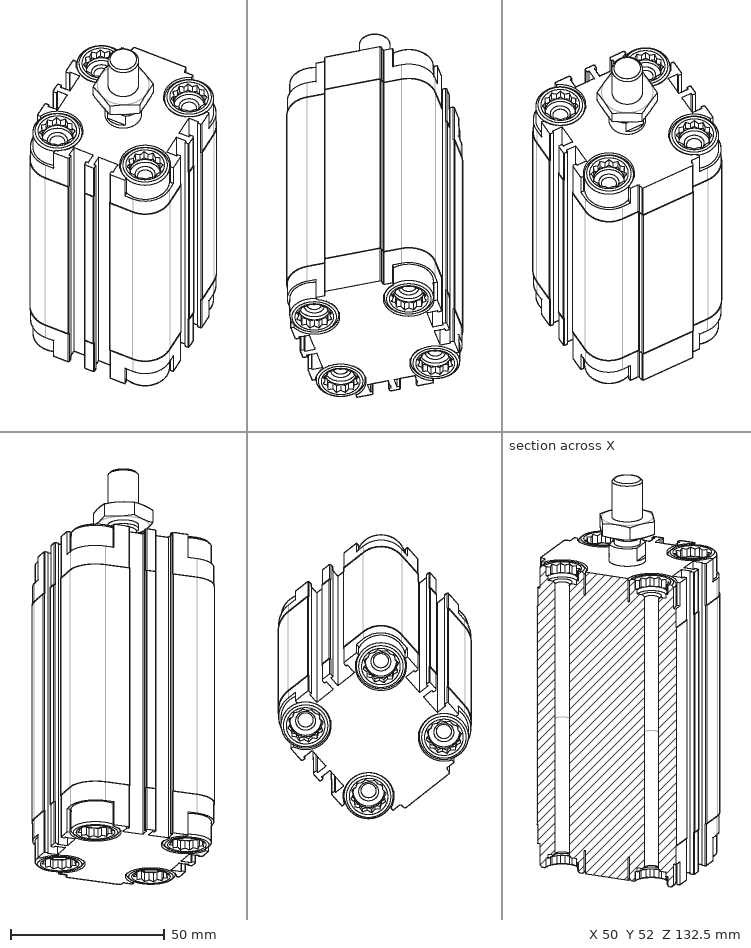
import cadquery as cq
import math

BODY_LENGTH = 104.5
CAP_LENGTH = 14.5
HALF_WIDTH = 25.0
BOLT_OFFSET = 16.0
CORNER_RADIUS = HALF_WIDTH - BOLT_OFFSET
CAP_INSET = 0.2

PAD_HEIGHT = 2.0
PAD_BASE_HALF = 9.8
PAD_TOP_HALF = 9.6
EDGE_BREAK = 0.3

GROOVE_DEPTH = 5.1
LIP_DEPTH = 1.6
RIB_HALF = 1.0
RIB_HEAD_HALF = 1.8
MOUTH_OUTER = 7.4
GROOVE_OUTER = 8.0

COLLAR_RADIUS = 8.0
COLLAR_CHAMFER = 0.75
COLLAR_GAP = 0.3
NOTCH_START = 13.0
NOTCH_DEPTH = 8.0
BOLT_HOLE_DIAMETER = 4.92
HOLE_MOUTH_DIAMETER = 6.5
SOCKET_POINTS = 12
SOCKET_MOUTH_DIAMETER = 12.6
SOCKET_INNER_DIAMETER = 10.1
SOCKET_OUTER_DIAMETER = 11.6
SOCKET_MOUTH_DEPTH = 0.7
SOCKET_POINT_DEPTH = 3.4
SOCKET_DEPTH = 4.8

ROD_DIAMETER = 12.0
ROD_SHOULDER_HEIGHT = 6.0
ROD_FLATS = 10.0
FLATS_HEIGHT = 4.5
ROD_INSERTION = CAP_LENGTH
NECK_DIAMETER = 8.57
NECK_HEIGHT = 2.0
THREAD_DIAMETER = 10.0
THREAD_END_DIAMETER = 8.65
THREAD_LENGTH = 22.0
NUT_SIDES = 6
NUT_ACROSS_FLATS = 17.0
NUT_THICKNESS = 5.0
NUT_TOP = 13.0
NUT_FACE_DIAMETER = 16.8
NUT_CHAMFER_ANGLE = 15.0

ROD_TIP_Z = BODY_LENGTH + ROD_SHOULDER_HEIGHT + THREAD_LENGTH
NUT_TOP_Z = ROD_TIP_Z - NUT_TOP


def outline(inset, z_start, length):
    """Rounded square with the +Y pad, shrunk by `inset` and extruded along Z."""
    face = HALF_WIDTH - inset
    square = (
        cq.Workplane("XY", origin=(0, 0, z_start))
        .rect(2 * face, 2 * face)
        .extrude(length)
        .edges("|Z")
        .fillet(CORNER_RADIUS - inset)
    )
    pad_half = [
        (0, 0),
        (PAD_BASE_HALF + EDGE_BREAK, 0),
        (PAD_BASE_HALF + EDGE_BREAK, face),
        (PAD_BASE_HALF, face + EDGE_BREAK),
        (PAD_TOP_HALF, face + PAD_HEIGHT - EDGE_BREAK),
        (PAD_TOP_HALF - EDGE_BREAK, face + PAD_HEIGHT),
        (0, face + PAD_HEIGHT),
    ]
    pad = cq.Workplane("XY", origin=(0, 0, z_start)).polyline(pad_half).close().extrude(length)
    return square.union(pad).union(pad.mirror("YZ"))


def groove_pair(inset, z_start, length):
    """The two grooves of the -Y face, with bevelled mouths on a face shrunk by `inset`."""
    face_y = inset - HALF_WIDTH
    floor_y = GROOVE_DEPTH - HALF_WIDTH
    lip_y = LIP_DEPTH - HALF_WIDTH
    right = (
        cq.Workplane("XY", origin=(0, 0, z_start))
        .polyline([
            (RIB_HALF, floor_y),
            (GROOVE_OUTER, floor_y),
            (GROOVE_OUTER, lip_y),
            (MOUTH_OUTER, lip_y),
            (MOUTH_OUTER, face_y + EDGE_BREAK),
            (MOUTH_OUTER + EDGE_BREAK, face_y),
            (RIB_HEAD_HALF - EDGE_BREAK, face_y),
            (RIB_HEAD_HALF, face_y + EDGE_BREAK),
            (RIB_HEAD_HALF, lip_y),
            (RIB_HALF, lip_y),
        ])
        .close()
        .extrude(length)
    )
    return right.union(right.mirror("YZ"))


def profile(inset, z_start, length):
    """Outline with grooves in its -X, -Y and +X faces."""
    body = outline(inset, z_start, length)
    grooves = groove_pair(inset, z_start, length)
    for turn in (-90, 0, 90):
        body = body.cut(grooves.rotate((0, 0, 0), (0, 0, 1), turn))
    return body


def collar_clearance():
    """Material removed from the top of one cap corner, around a collar on the Z axis."""
    reach = 2 * CORNER_RADIUS
    start = NOTCH_START - BOLT_OFFSET
    bottom = BODY_LENGTH - NOTCH_DEPTH
    collar = cq.Workplane("XY", origin=(0, 0, bottom)).circle(COLLAR_RADIUS).extrude(NOTCH_DEPTH)
    pocket = (
        cq.Workplane("XY", origin=(0, 0, bottom))
        .circle(COLLAR_RADIUS + COLLAR_GAP)
        .extrude(NOTCH_DEPTH)
    )
    corner = cq.Workplane("XY").box(reach, reach, NOTCH_DEPTH, centered=False)
    clearance = corner.translate((start, start, bottom)).union(pocket).cut(collar)
    chamfer = (
        cq.Workplane("XZ")
        .polyline([
            (COLLAR_RADIUS - COLLAR_CHAMFER, BODY_LENGTH),
            (COLLAR_RADIUS, BODY_LENGTH),
            (COLLAR_RADIUS, BODY_LENGTH - COLLAR_CHAMFER),
        ])
        .close()
        .revolve(360, (0, 0, 0), (0, 1, 0))
    )
    return clearance.union(chamfer)


def bolt_socket():
    """Twelve-pointed socket and bolt hole on the Z axis, open at the top face."""
    inner = SOCKET_INNER_DIAMETER / 2
    mouth = SOCKET_MOUTH_DIAMETER / 2
    hole = BOLT_HOLE_DIAMETER / 2
    hole_mouth = HOLE_MOUTH_DIAMETER / 2
    floor = BODY_LENGTH - SOCKET_DEPTH
    bore = (
        cq.Workplane("XZ")
        .polyline([
            (0, BODY_LENGTH / 2),
            (hole, BODY_LENGTH / 2),
            (hole, floor - (hole_mouth - hole)),
            (hole_mouth, floor),
            (inner, floor),
            (inner, BODY_LENGTH - SOCKET_MOUTH_DEPTH),
            (mouth, BODY_LENGTH),
            (0, BODY_LENGTH),
        ])
        .close()
        .revolve(360, (0, 0, 0), (0, 1, 0))
    )
    corners = []
    for i in range(2 * SOCKET_POINTS):
        radius = SOCKET_OUTER_DIAMETER / 2 if i % 2 == 0 else inner
        angle = math.pi * i / SOCKET_POINTS
        corners.append((radius * math.cos(angle), radius * math.sin(angle)))
    star = (
        cq.Workplane("XY", origin=(0, 0, BODY_LENGTH - SOCKET_POINT_DEPTH))
        .polyline(corners)
        .close()
        .extrude(SOCKET_POINT_DEPTH)
    )
    return bore.union(star)


def at_bolt(tool, x_sign, y_sign):
    """Copies of a tool made for the (+X, +Y) bolt, at one bolt, for both ends of the housing."""
    if x_sign < 0:
        tool = tool.mirror("YZ")
    if y_sign < 0:
        tool = tool.mirror("XZ")
    upper = tool.translate((x_sign * BOLT_OFFSET, y_sign * BOLT_OFFSET, 0))
    lower = upper.mirror("XY").translate((0, 0, BODY_LENGTH))
    return [upper, lower]


def make_housing():
    body = profile(0, CAP_LENGTH, BODY_LENGTH - 2 * CAP_LENGTH)
    for cap_start in (0, BODY_LENGTH - CAP_LENGTH):
        body = body.union(profile(CAP_INSET, cap_start, CAP_LENGTH))
    for tool in (collar_clearance(), bolt_socket()):
        for x_sign in (-1, 1):
            for y_sign in (-1, 1):
                for cutter in at_bolt(tool, x_sign, y_sign):
                    body = body.cut(cutter)
    rod_bore = (
        cq.Workplane("XY", origin=(0, 0, BODY_LENGTH - ROD_INSERTION))
        .circle(ROD_DIAMETER / 2)
        .extrude(ROD_INSERTION)
    )
    return body.cut(rod_bore)


def make_rod():
    bottom_z = BODY_LENGTH - ROD_INSERTION
    shoulder_z = BODY_LENGTH + ROD_SHOULDER_HEIGHT
    neck_top_z = shoulder_z + NECK_HEIGHT
    neck_taper = (THREAD_DIAMETER - NECK_DIAMETER) / 2
    tip_chamfer = (THREAD_DIAMETER - THREAD_END_DIAMETER) / 2
    rod = (
        cq.Workplane("XZ")
        .polyline([
            (0, bottom_z),
            (ROD_DIAMETER / 2, bottom_z),
            (ROD_DIAMETER / 2, shoulder_z),
            (NECK_DIAMETER / 2, shoulder_z),
            (NECK_DIAMETER / 2, neck_top_z),
            (THREAD_DIAMETER / 2, neck_top_z + neck_taper),
            (THREAD_DIAMETER / 2, ROD_TIP_Z - tip_chamfer),
            (THREAD_END_DIAMETER / 2, ROD_TIP_Z),
            (0, ROD_TIP_Z),
        ])
        .close()
        .revolve(360, (0, 0, 0), (0, 1, 0))
    )
    for side in (-1, 1):
        flat = (
            cq.Workplane("XY")
            .box(ROD_DIAMETER, ROD_DIAMETER, FLATS_HEIGHT)
            .translate((0, side * (ROD_FLATS + ROD_DIAMETER) / 2, shoulder_z - FLATS_HEIGHT / 2))
        )
        rod = rod.cut(flat)
    return rod


def make_nut():
    bottom_z = NUT_TOP_Z - NUT_THICKNESS
    across_corners = NUT_ACROSS_FLATS / math.cos(math.pi / NUT_SIDES)
    hexagon = (
        cq.Workplane("XY", origin=(0, 0, bottom_z))
        .polygon(NUT_SIDES, across_corners)
        .extrude(NUT_THICKNESS)
        .rotate((0, 0, 0), (0, 0, 1), 180 / NUT_SIDES)
    )
    face_radius = NUT_FACE_DIAMETER / 2
    corner_radius = across_corners / 2
    drop = (corner_radius - face_radius) * math.tan(math.radians(NUT_CHAMFER_ANGLE))
    blank = (
        cq.Workplane("XZ")
        .polyline([
            (THREAD_DIAMETER / 2, bottom_z),
            (face_radius, bottom_z),
            (corner_radius, bottom_z + drop),
            (corner_radius, NUT_TOP_Z - drop),
            (face_radius, NUT_TOP_Z),
            (THREAD_DIAMETER / 2, NUT_TOP_Z),
        ])
        .close()
        .revolve(360, (0, 0, 0), (0, 1, 0))
    )
    return hexagon.intersect(blank)


housing = make_housing()
rod = make_rod()
nut = make_nut()

result = cq.Compound.makeCompound([housing.val(), rod.val(), nut.val()])